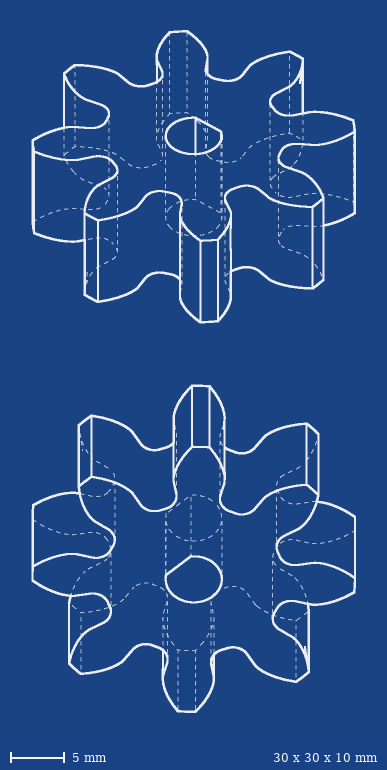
import cadquery as cq
import math

tooth_count = 8
module = 3.0
dedendum_factor = 1.2
pressure_angle = math.radians(20)
thickness = 10.0
root_fillet = 1.5

bore_radius = 2.6
flat_offset = 2.1

pitch_radius = module * tooth_count / 2
tip_radius = pitch_radius + module
root_radius = pitch_radius - dedendum_factor * module
base_radius = pitch_radius * math.cos(pressure_angle)
tooth_pitch = 2 * math.pi / tooth_count
involute_steps = 8


def involute(angle):
    """Polar angle swept by an involute at the given pressure angle."""
    return math.tan(angle) - angle


base_half_angle = tooth_pitch / 4 + involute(pressure_angle)
tip_half_angle = base_half_angle - involute(math.acos(base_radius / tip_radius))

fillet_center_radius = root_radius + root_fillet
fillet_half_angle = base_half_angle + math.asin(root_fillet / fillet_center_radius)
flank_start_radius = math.sqrt(fillet_center_radius**2 - root_fillet**2)


def polar(radius, angle):
    return (radius * math.cos(angle), radius * math.sin(angle))


def fillet_middle(tooth_angle, side):
    """Point halfway round the root fillet on one side (-1 or 1) of a tooth."""
    center_angle = tooth_angle + side * fillet_half_angle
    center = polar(fillet_center_radius, center_angle)
    toward_flank = tooth_angle + side * (base_half_angle - math.pi / 2)
    toward_root = center_angle + math.pi
    turn = math.remainder(toward_root - toward_flank, 2 * math.pi)
    offset = polar(root_fillet, toward_flank + turn / 2)
    return (center[0] + offset[0], center[1] + offset[1])


def involute_flank(tooth_angle, side):
    """Points along one involute flank, from the base circle to the tip."""
    points = []
    for step in range(involute_steps + 1):
        radius = base_radius + (tip_radius - base_radius) * (step / involute_steps) ** 2
        sweep = involute(math.acos(min(1.0, base_radius / radius)))
        points.append(polar(radius, tooth_angle + side * (base_half_angle - sweep)))
    return points


def add_tooth(outline, tooth_angle):
    """Extend the outline counterclockwise over one tooth and the root after it."""
    rising = involute_flank(tooth_angle, -1)
    falling = involute_flank(tooth_angle, 1)[::-1]
    outline = outline.threePointArc(
        fillet_middle(tooth_angle, -1),
        polar(flank_start_radius, tooth_angle - base_half_angle),
    )
    outline = outline.lineTo(*rising[0]).spline(rising[1:], includeCurrent=True)
    outline = outline.threePointArc(polar(tip_radius, tooth_angle), falling[0])
    outline = outline.spline(falling[1:], includeCurrent=True)
    outline = outline.lineTo(*polar(flank_start_radius, tooth_angle + base_half_angle))
    outline = outline.threePointArc(
        fillet_middle(tooth_angle, 1),
        polar(root_radius, tooth_angle + fillet_half_angle),
    )
    return outline.threePointArc(
        polar(root_radius, tooth_angle + tooth_pitch / 2),
        polar(root_radius, tooth_angle + tooth_pitch - fillet_half_angle),
    )


def make_gear():
    outline = cq.Workplane("XY").moveTo(*polar(root_radius, -fillet_half_angle))
    for index in range(tooth_count):
        outline = add_tooth(outline, index * tooth_pitch)
    return outline.close().extrude(thickness)


def make_bore():
    """D-shaped cutter with its flat facing +Y."""
    half_flat = math.sqrt(bore_radius**2 - flat_offset**2)
    return (
        cq.Workplane("XY")
        .moveTo(half_flat, flat_offset)
        .lineTo(-half_flat, flat_offset)
        .threePointArc((0, -bore_radius), (half_flat, flat_offset))
        .close()
        .extrude(thickness)
    )


result = make_gear().cut(make_bore())